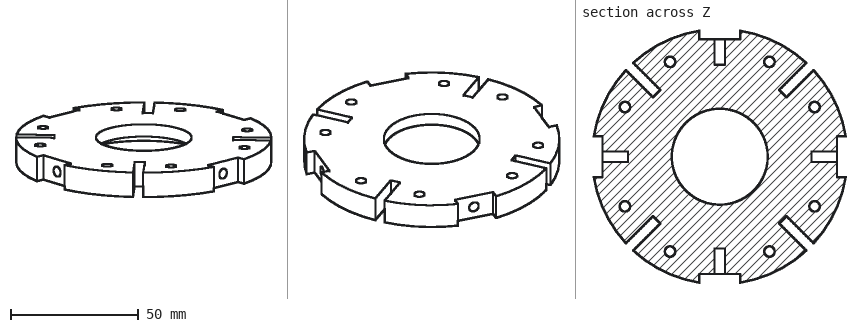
import cadquery as cq

DISC_RADIUS = 50.0
THICKNESS = 10.0
BORE_DIAMETER = 37.5

RECESS_DIAMETER = 60.0
RECESS_DEPTH = 5.0

NOTCH_WIDTH = 16.0
NOTCH_FLOOR_RADIUS = 46.0
NOTCH_ANGLES = (0, 90, 180, 270)

RADIAL_HOLE_DIAMETER = 4.0
RADIAL_HOLE_DEPTH = 10.0

SLOT_WIDTH = 4.0
SLOT_END_RADIUS = 35.0
SLOT_ANGLES = (45, 135, 225, 315)

BOLT_HOLE_DIAMETER = 4.0
BOLT_HOLE_ALONG = 40.0
BOLT_HOLE_SPACING = 25.0


def make_disc():
    """Round plate with a central bore, centred on the Z axis, base at Z = 0."""
    return (
        cq.Workplane("XY")
        .circle(DISC_RADIUS)
        .circle(BORE_DIAMETER / 2)
        .extrude(THICKNESS)
    )


def make_recess():
    """Round pocket concentric with the bore, open at the underside."""
    return cq.Workplane("XY").circle(RECESS_DIAMETER / 2).extrude(RECESS_DEPTH)


def make_rim_cut(floor_radius, width):
    """Full-height block along +X, from the given radius out to the disc's radius."""
    length = DISC_RADIUS - floor_radius
    return (
        cq.Workplane("XY")
        .center(floor_radius + length / 2, 0)
        .rect(length, width)
        .extrude(THICKNESS)
    )


def make_notch():
    """Rim notch on +X together with the blind hole in its floor."""
    notch = make_rim_cut(NOTCH_FLOOR_RADIUS, NOTCH_WIDTH)
    hole = (
        cq.Workplane("YZ", origin=(NOTCH_FLOOR_RADIUS, 0, THICKNESS / 2))
        .circle(RADIAL_HOLE_DIAMETER / 2)
        .extrude(-RADIAL_HOLE_DEPTH)
    )
    return notch.union(hole)


def make_slot_and_bolt_holes():
    """Radial slot along +X with its pair of flanking through holes."""
    slot = make_rim_cut(SLOT_END_RADIUS, SLOT_WIDTH)
    half_spacing = BOLT_HOLE_SPACING / 2
    holes = (
        cq.Workplane("XY")
        .pushPoints([(BOLT_HOLE_ALONG, half_spacing), (BOLT_HOLE_ALONG, -half_spacing)])
        .circle(BOLT_HOLE_DIAMETER / 2)
        .extrude(THICKNESS)
    )
    return slot.union(holes)


def cut_around(body, cutter, angles):
    """Cut copies of the cutter, turned about the Z axis to each angle."""
    for angle in angles:
        body = body.cut(cutter.rotate((0, 0, 0), (0, 0, 1), angle))
    return body


result = make_disc().cut(make_recess())
result = cut_around(result, make_notch(), NOTCH_ANGLES)
result = cut_around(result, make_slot_and_bolt_holes(), SLOT_ANGLES)